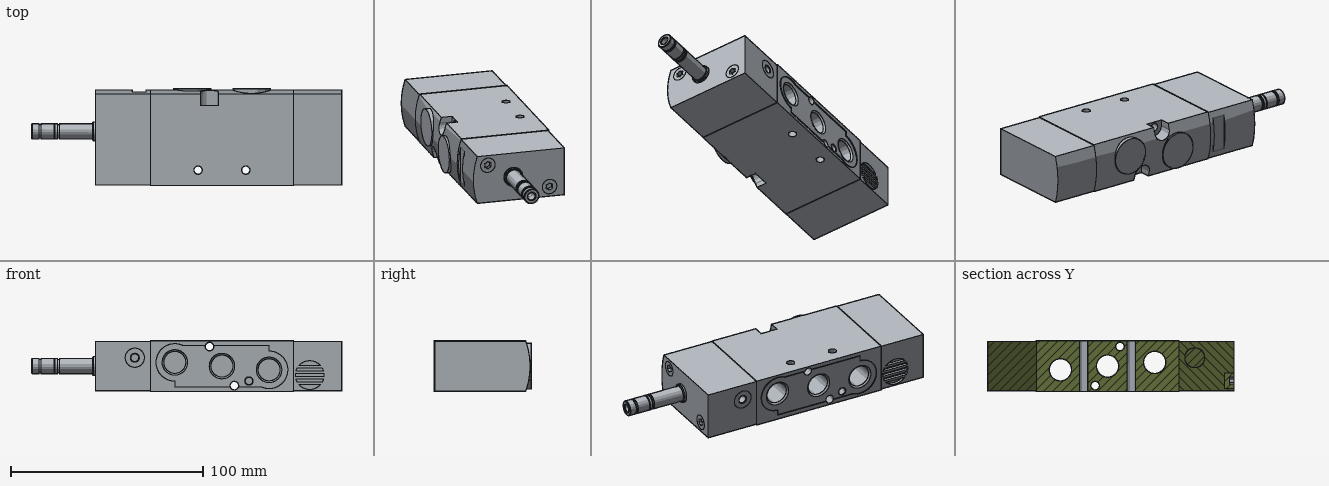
import cadquery as cq
import math


HOUSING_LENGTH = 74.3
HOUSING_HEIGHT = 26.5
BACK_CROWN_Y = 49.8
BACK_CROWN_RISE = 2.3
HALF_LENGTH = HOUSING_LENGTH / 2
BACK_EDGE_Y = BACK_CROWN_Y - BACK_CROWN_RISE

PORT_PITCH = 24.5
PORT_SLOPE_DROP = 2.0
PORT_DIAMETER = 11.5
PORT_MOUTH_DIAMETER = 13.2
PORT_DEPTH = 16.1
GASKET_DEPTH = 0.5
GASKET_END_DIAMETER = 19.5
GASKET_BAND_HEIGHT = 21.6

SIDE_HOLE_DIAMETER = 4.3
SIDE_HOLE_X = 6.5
SIDE_HOLE_Z = 10.1
TOP_HOLE_DIAMETER = 4.2
TOP_HOLE_X = 12.4
TOP_HOLE_Y = 8
BLEED_DIAMETER = 3.9
BLEED_MOUTH_DIAMETER = 4.3
BLEED_DEPTH = 4.8
BLEED_X = 14.0
BLEED_Z = -7.7

BOSS_DIAMETER = 19.5
BOSS_X = 15.5
BOSS_Z = 2.3
BOSS_TOP_Y = 50.5
SCREW_SEAT_WIDTH = 9.3
SCREW_SEAT_FLOOR_Y = 41.7

END_INSET = 0.3
PILOT_LENGTH = 28.7
CAP_LENGTH = 25.1
PILOT_LEFT_X = -HALF_LENGTH - PILOT_LENGTH
SLOT_WIDTH = 7.1
SLOT_FLOOR_Y = 48.7
SLOT_X = -43.0

VENT_DIAMETER = 15.0
VENT_X = 45.6
VENT_Z = -4.7
VENT_RIB_HEIGHT = 1.3
VENT_RIB_PITCH = 2.9
VENT_RIBS = 4
VENT_DEPTH = 1.6

STEM_Y = 28.2
STEM_LENGTH = 33.0
STEM_DIAMETER = 8
TIP_CHAMFER = 0.3
COLLAR_DIAMETER = 10.0
COLLAR_LENGTH = 1.5
COLLAR_CHAMFER = 0.5
GROOVE_DIAMETER = 7.1
GROOVE_WIDTH = 1.0
GROOVE_STARTS = (3.9, 13.5)
FINE_GROOVE_DIAMETER = 7.9
FINE_GROOVE_WIDTH = 0.5
FINE_GROOVE_START = 11.6
TIP_MOUTH_DIAMETER = 4.7
TIP_BORE_DIAMETER = 4.0
TIP_NECK_DIAMETER = 2.5
TIP_END_DIAMETER = 0.9
TIP_MOUTH_DEPTH = 0.3
TIP_BORE_DEPTH = 3.2
TIP_NECK_DEPTH = 1.6

SCREW_DIAMETER = 7.9
SCREW_LENGTH = 4.8
SCREW_PLACES = ((41.9, 7.5), (8.4, -7.5))
SOCKET_DIAMETER = 3.9
SOCKET_DEPTH = 2.4

OVERRIDE_DIAMETER = 10.0
OVERRIDE_LENGTH = 8
OVERRIDE_X = -45.3
OVERRIDE_Z = 4.3
OVERRIDE_BORE_DIAMETER = 4.0
OVERRIDE_MOUTH_DIAMETER = 4.7
OVERRIDE_BORE_DEPTH = 4.8


def rod_x(x, y, z, diameter, length):
    """Cylinder that starts at the given point and runs toward +X."""
    return cq.Workplane(cq.Solid.makeCylinder(diameter / 2, length, cq.Vector(x, y, z), cq.Vector(1, 0, 0)))


def rod_y(x, y, z, diameter, length):
    """Cylinder that starts at the given point and runs toward +Y."""
    return cq.Workplane(cq.Solid.makeCylinder(diameter / 2, length, cq.Vector(x, y, z), cq.Vector(0, 1, 0)))


def cone_x(x, y, z, start_diameter, end_diameter, length):
    """Cone that starts at the given point and narrows toward +X."""
    return cq.Workplane(cq.Solid.makeCone(
        start_diameter / 2, end_diameter / 2, length, cq.Vector(x, y, z), cq.Vector(1, 0, 0)))


def chamfered_bore_y(x, y, z, diameter, mouth_diameter, depth):
    """Blind bore toward +Y with a 45 degree chamfer at its mouth."""
    chamfer = (mouth_diameter - diameter) / 2
    mouth = cq.Workplane(cq.Solid.makeCone(
        mouth_diameter / 2, diameter / 2, chamfer, cq.Vector(x, y, z), cq.Vector(0, 1, 0)))
    return rod_y(x, y, z, diameter, depth).union(mouth)


def crowned_block(left_x, length, inset):
    """Block with a crowned back face; the inset lowers its front, top and bottom faces."""
    crown_radius = ((HOUSING_HEIGHT / 2) ** 2 + BACK_CROWN_RISE ** 2) / (2 * BACK_CROWN_RISE)
    half_height = HOUSING_HEIGHT / 2 - inset
    edge_y = BACK_CROWN_Y - crown_radius + math.sqrt(crown_radius ** 2 - half_height ** 2)
    return (
        cq.Workplane("YZ", origin=(left_x, 0, 0))
        .moveTo(inset, -half_height)
        .lineTo(edge_y, -half_height)
        .threePointArc((BACK_CROWN_Y, 0), (edge_y, half_height))
        .lineTo(inset, half_height)
        .close()
        .extrude(length)
    )


def port_places():
    """(x, z) of the three ports, left to right."""
    return [(i * PORT_PITCH, -i * PORT_SLOPE_DROP) for i in (-1, 0, 1)]


def gasket_recess():
    """Straight band between the outer ports, with a round end about each of them."""
    recess = cq.Workplane("XY").box(2 * PORT_PITCH, GASKET_DEPTH, GASKET_BAND_HEIGHT, centered=(True, False, True))
    left_port, _, right_port = port_places()
    for x, z in (left_port, right_port):
        recess = recess.union(rod_y(x, 0, z, GASKET_END_DIAMETER, GASKET_DEPTH))
    return recess


def screw_seat(side):
    """Round-bottomed seat about a side hole in the back face, open to the top (-1) or bottom (1)."""
    x = side * SIDE_HOLE_X
    z = -side * SIDE_HOLE_Z
    length = BOSS_TOP_Y - SCREW_SEAT_FLOOR_Y
    opening = cq.Workplane("XY", origin=(x, SCREW_SEAT_FLOOR_Y, z)).box(
        SCREW_SEAT_WIDTH, length, HOUSING_HEIGHT, centered=(True, False, False))
    if side > 0:
        opening = opening.translate((0, 0, -HOUSING_HEIGHT))
    return rod_y(x, SCREW_SEAT_FLOOR_Y, z, SCREW_SEAT_WIDTH, length).union(opening)


def make_housing():
    housing = crowned_block(-HALF_LENGTH, HOUSING_LENGTH, 0)
    for side in (-1, 1):
        housing = housing.union(
            rod_y(side * BOSS_X, BACK_EDGE_Y, side * BOSS_Z, BOSS_DIAMETER, BOSS_TOP_Y - BACK_EDGE_Y))
    housing = housing.cut(gasket_recess())
    for x, z in port_places():
        housing = housing.cut(
            chamfered_bore_y(x, GASKET_DEPTH, z, PORT_DIAMETER, PORT_MOUTH_DIAMETER, PORT_DEPTH))
    housing = housing.cut(
        chamfered_bore_y(BLEED_X, GASKET_DEPTH, BLEED_Z, BLEED_DIAMETER, BLEED_MOUTH_DIAMETER, BLEED_DEPTH))
    for side in (-1, 1):
        housing = housing.cut(
            rod_y(side * SIDE_HOLE_X, 0, -side * SIDE_HOLE_Z, SIDE_HOLE_DIAMETER, BOSS_TOP_Y))
        housing = housing.cut(screw_seat(side))
        housing = housing.cut(
            cq.Workplane("XY", origin=(side * TOP_HOLE_X, TOP_HOLE_Y, 0))
            .circle(TOP_HOLE_DIAMETER / 2)
            .extrude(HOUSING_HEIGHT, both=True))
    return housing


def make_pilot_block():
    block = crowned_block(PILOT_LEFT_X, PILOT_LENGTH, END_INSET)
    slot = cq.Workplane("XY", origin=(SLOT_X, SLOT_FLOOR_Y, 0)).box(
        SLOT_WIDTH, BACK_CROWN_RISE, HOUSING_HEIGHT, centered=(True, False, True))
    block = block.cut(slot)
    for y, z in SCREW_PLACES:
        block = block.cut(rod_x(PILOT_LEFT_X, y, z, SCREW_DIAMETER, SCREW_LENGTH))
    return block.cut(rod_y(OVERRIDE_X, END_INSET, OVERRIDE_Z, OVERRIDE_DIAMETER, OVERRIDE_LENGTH))


def make_end_cap():
    cap = crowned_block(HALF_LENGTH, CAP_LENGTH, END_INSET)
    vent = rod_y(VENT_X, END_INSET, VENT_Z, VENT_DIAMETER, VENT_DEPTH)
    for i in range(VENT_RIBS):
        rib_z = VENT_Z + (i - (VENT_RIBS - 1) / 2) * VENT_RIB_PITCH
        rib = cq.Workplane("XY", origin=(VENT_X, END_INSET, rib_z)).box(
            VENT_DIAMETER, VENT_DEPTH, VENT_RIB_HEIGHT, centered=(True, False, True))
        vent = vent.cut(rib)
    return cap.cut(vent)


def stem_groove(start, width, diameter):
    """Ring around the stem, from the groove floor outward."""
    x = PILOT_LEFT_X - STEM_LENGTH + start
    return rod_x(x, STEM_Y, 0, COLLAR_DIAMETER, width).cut(rod_x(x, STEM_Y, 0, diameter, width))


def tip_bore(tip_x):
    """Blind bore in the stem's tip: three cones, one behind the other."""
    bore_x = tip_x + TIP_MOUTH_DEPTH
    neck_x = bore_x + TIP_BORE_DEPTH
    mouth = cone_x(tip_x, STEM_Y, 0, TIP_MOUTH_DIAMETER, TIP_BORE_DIAMETER, TIP_MOUTH_DEPTH)
    bore = cone_x(bore_x, STEM_Y, 0, TIP_BORE_DIAMETER, TIP_NECK_DIAMETER, TIP_BORE_DEPTH)
    neck = cone_x(neck_x, STEM_Y, 0, TIP_NECK_DIAMETER, TIP_END_DIAMETER, TIP_NECK_DEPTH)
    return mouth.union(bore).union(neck)


def make_stem():
    tip_x = PILOT_LEFT_X - STEM_LENGTH
    collar = rod_x(PILOT_LEFT_X - COLLAR_LENGTH, STEM_Y, 0, COLLAR_DIAMETER, COLLAR_LENGTH)
    collar = collar.faces("<X").chamfer(COLLAR_CHAMFER)
    stem = rod_x(tip_x, STEM_Y, 0, STEM_DIAMETER, STEM_LENGTH)
    stem = stem.faces("<X").chamfer(TIP_CHAMFER).union(collar)
    for start in GROOVE_STARTS:
        stem = stem.cut(stem_groove(start, GROOVE_WIDTH, GROOVE_DIAMETER))
    stem = stem.cut(stem_groove(FINE_GROOVE_START, FINE_GROOVE_WIDTH, FINE_GROOVE_DIAMETER))
    return stem.cut(tip_bore(tip_x))


def make_screw(y, z):
    """Plug screw with a hexagon socket, flush with the pilot block's left face."""
    socket = (
        cq.Workplane("YZ", origin=(PILOT_LEFT_X, y, z))
        .transformed(rotate=(0, 0, 90))
        .polygon(6, SOCKET_DIAMETER)
        .extrude(SOCKET_DEPTH)
    )
    return rod_x(PILOT_LEFT_X, y, z, SCREW_DIAMETER, SCREW_LENGTH).cut(socket)


def make_override():
    """Round plug, flush with the pilot block's front face, with a bore for the push pin."""
    plug = rod_y(OVERRIDE_X, END_INSET, OVERRIDE_Z, OVERRIDE_DIAMETER, OVERRIDE_LENGTH)
    return plug.cut(chamfered_bore_y(
        OVERRIDE_X, END_INSET, OVERRIDE_Z, OVERRIDE_BORE_DIAMETER, OVERRIDE_MOUTH_DIAMETER, OVERRIDE_BORE_DEPTH))


housing = make_housing()
pilot_block = make_pilot_block()
end_cap = make_end_cap()
stem = make_stem()
override = make_override()
screws = [make_screw(y, z) for y, z in SCREW_PLACES]

result = cq.Compound.makeCompound([
    housing.val(),
    pilot_block.val(),
    end_cap.val(),
    stem.val(),
    override.val(),
    *[screw.val() for screw in screws],
])